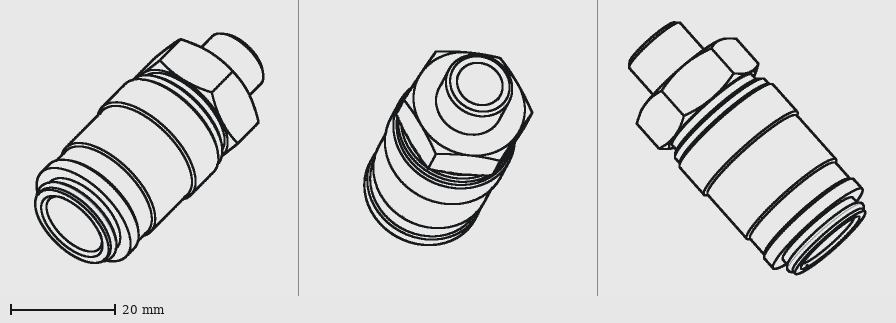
import cadquery as cq
import math

length = 52.0
socket_end = -length / 2

flange_start = 3.65
groove_start = 6.2
groove_end = 11.35
band_start = 22.8
band_end = 30.85
collar_end = 32.7
hex_start = 34.55
hex_end = 43.0

spigot_radius = 9.0
groove_radius = 11.0
sleeve_radius = 11.5
band_radius = 12.0
neck_radius = 10.25
stem_radius = 6.55
socket_radius = 6.75
bore_diameter = 9.0
bore_radius = bore_diameter / 2

shoulder_chamfer = 0.45
stem_chamfer = 0.7
socket_chamfer = 0.75

bead_center = 1.4
bead_section_radius = 0.75
bead_outer_radius = 9.6

across_corners = 25.4
across_flats = across_corners * math.cos(math.pi / 6)
hex_chamfer_slope = math.tan(math.pi / 6)


def revolve_profile(points):
    """Revolve (radius, distance from socket end) points about the Y axis."""
    placed = [(radius, socket_end + distance) for radius, distance in points]
    return cq.Workplane("XY").polyline(placed).close().revolve(360, (0, 0, 0), (0, 1, 0))


def make_body():
    return revolve_profile([
        (0, 0),
        (spigot_radius, 0),
        (spigot_radius, flange_start),
        (sleeve_radius, flange_start),
        (sleeve_radius, groove_start),
        (groove_radius, groove_start + shoulder_chamfer),
        (groove_radius, groove_end - shoulder_chamfer),
        (sleeve_radius, groove_end),
        (sleeve_radius, band_start),
        (band_radius, band_start + shoulder_chamfer),
        (band_radius, band_end - shoulder_chamfer),
        (sleeve_radius, band_end),
        (sleeve_radius, collar_end - shoulder_chamfer),
        (sleeve_radius - shoulder_chamfer, collar_end),
        (neck_radius, collar_end),
        (neck_radius, hex_start),
        (stem_radius, hex_start),
        (stem_radius, length - stem_chamfer),
        (stem_radius - stem_chamfer, length),
        (0, length),
    ])


def make_bead():
    ring_radius = bead_outer_radius - bead_section_radius
    return (
        cq.Workplane("XY")
        .center(ring_radius, socket_end + bead_center)
        .circle(bead_section_radius)
        .revolve(360, (-ring_radius, 0, 0), (-ring_radius, 1, 0))
    )


def make_hexagon():
    """Hexagon with corners on the X axis, both ends turned to a 30 degree chamfer."""
    prism = (
        cq.Workplane("XZ", origin=(0, socket_end + hex_end, 0))
        .polygon(6, across_corners)
        .extrude(hex_end - hex_start)
    )
    face_radius = across_flats / 2
    rim_radius = across_corners / 2
    chamfer_height = (rim_radius - face_radius) * hex_chamfer_slope
    envelope = revolve_profile([
        (0, hex_start),
        (face_radius, hex_start),
        (rim_radius, hex_start + chamfer_height),
        (rim_radius, hex_end - chamfer_height),
        (face_radius, hex_end),
        (0, hex_end),
    ])
    return prism.intersect(envelope)


def make_bore():
    """Through bore with a wide chamfered socket that ends level with the hexagon."""
    return revolve_profile([
        (0, 0),
        (socket_radius + socket_chamfer, 0),
        (socket_radius, socket_chamfer),
        (socket_radius, hex_start),
        (bore_radius, hex_start),
        (bore_radius, length),
        (0, length),
    ])


result = make_body().union(make_bead()).union(make_hexagon()).cut(make_bore())